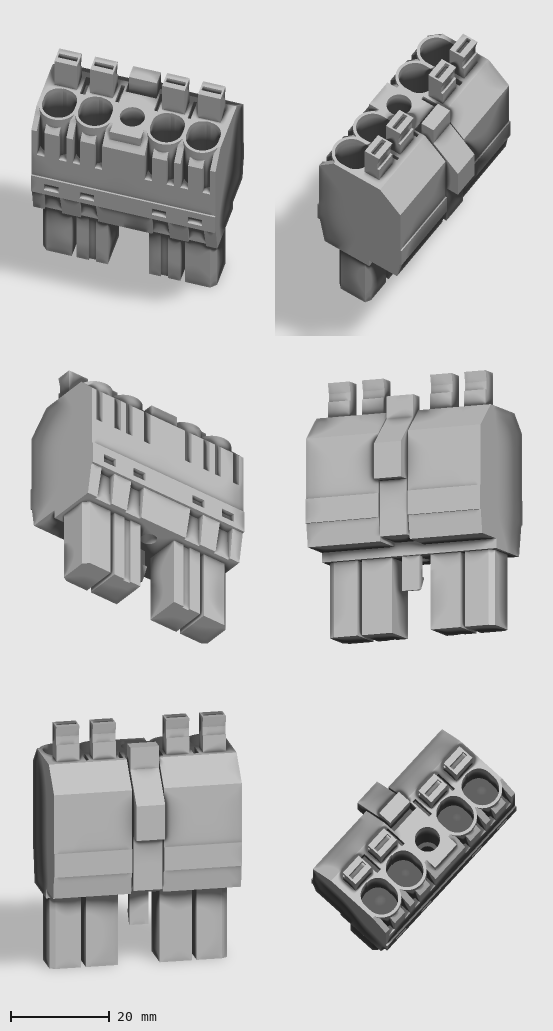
import cadquery as cq


housing_width = 39.0
body_front = 0.35
body_back = 20.4
body_bottom = 15.5
body_top = 44.7
band_bottom = 22.25
band_top = 27.25
band_back = 20.7
front_chamfer = 3.6
back_chamfer = 5.0
taper_top_front = 0.55
taper_bottom_front = 1.7
taper_top_back = 20.25
taper_bottom_back = 19.55
rear_ledge = 17.45
rear_step = 12.7

pole_pitch = 7.6
poles = [-2 * pole_pitch, -pole_pitch, pole_pitch, 2 * pole_pitch]

funnel_radius = 3.4
funnel_back = 9.75
funnel_floor = 33.65
funnel_axis = 5.4
funnel_front = funnel_axis - funnel_radius
funnel_groove_width = 0.8
funnel_groove_depth = 0.1
funnel_corner_radius = funnel_radius - funnel_groove_width / 2
collar_radius = 4.0
relief_width = 6.25
tab_width = 3.1

platform_width = 6.5
platform_front = 1.55
screw_y = 6.65
screw_radius = 1.7
screw_bore_radius = 2.55
screw_bore_floor = band_top

window_bottom = 23.55
window_height = 1.95
window_depth = 1.15
recess_floor = 2.3
recess_top_width = 3.3
recess_bottom_width = 3.75

slits = [(-11.4, 1.15), (-4.1, 0.85), (4.1, 0.85), (11.15, 0.7)]
slit_front = 9.55
slit_back = 14.1
slit_depth = 2.6

shroud_front = 3.85
shroud_back = 11.65
outer_shroud_inside = 12.0
outer_shroud_outside = 18.45
outer_chamfer_x = 1.15
outer_chamfer_front = 1.15
outer_chamfer_back = 0.7
inner_shroud_inside = 4.3
inner_shroud_outside = 11.0
key_groove_width = 1.55
key_groove_depth = 0.45

hook_width = 3.9
hook_back = 11.9
hook_front = 10.35
hook_barb = 0.6
hook_tip_front = 11.2
hook_bottom = 8.4
barb_bottom = 10.95
barb_top = 11.25

lever_width = 4.8
lever_front = 10.3
lever_back = 13.85
lever_bottom = funnel_floor
lever_top = 52.1
finger_depth = 0.45
finger_bottom = 48.2
finger_slope_bottom = 49.9
driver_slot_width = 4.05
driver_slot_front = 11.5
driver_slot_thickness = 1.05
driver_slot_depth = 1.4

latch_slot_width = 6.6
latch_width = 5.95
latch_top = 47.75
latch_grip_front = 14.15
latch_grip_back = 17.2
latch_shoulder = body_top - back_chamfer
latch_back = 23.2
latch_back_top = 37.1
latch_back_bottom = 29.75
latch_bottom = 18.3


def box(x0, x1, y0, y1, z0, z1):
    """Block between two corners."""
    return cq.Workplane("XY").box(x1 - x0, y1 - y0, z1 - z0, centered=False).translate((x0, y0, z0))


def centred_box(x, width, y0, y1, z0, z1):
    """Block whose width is centred on x."""
    return box(x - width / 2, x + width / 2, y0, y1, z0, z1)


def side_profile(points, width):
    """Y-Z outline extruded along X, centred on X = 0."""
    return cq.Workplane("YZ").polyline(points).close().extrude(width / 2, both=True)


def collar(x):
    """Cylinder that forms the outer wall of a wire funnel."""
    return (
        cq.Workplane("XY", origin=(x, funnel_axis, funnel_floor))
        .circle(collar_radius)
        .extrude(body_top - funnel_floor)
    )


def funnel(x):
    """Wire funnel, half round at the front and with two round corners and a groove at the back."""
    half_groove = funnel_groove_width / 2
    corner_y = funnel_back - funnel_corner_radius
    opening = (
        cq.Workplane("XY", origin=(x, 0, funnel_floor))
        .moveTo(-funnel_radius, funnel_axis)
        .threePointArc((0, funnel_front), (funnel_radius, funnel_axis))
        .lineTo(funnel_radius, corner_y)
        .radiusArc((half_groove, funnel_back), -funnel_corner_radius)
        .lineTo(-half_groove, funnel_back)
        .radiusArc((-funnel_radius, corner_y), -funnel_corner_radius)
        .close()
        .extrude(body_top - funnel_floor)
    )
    groove = centred_box(
        x,
        funnel_groove_width,
        funnel_axis,
        funnel_back + funnel_groove_depth,
        funnel_floor,
        body_top,
    )
    return opening.union(groove)


def housing_body():
    """Main block with its girth band, tapered foot and rear ledge."""
    return side_profile(
        [
            (body_front, body_top),
            (body_back - back_chamfer, body_top),
            (body_back, body_top - back_chamfer),
            (body_back, band_top),
            (band_back, band_top),
            (band_back, band_bottom),
            (taper_top_back, band_bottom),
            (taper_bottom_back, rear_ledge),
            (rear_step, rear_ledge),
            (rear_step, body_bottom),
            (taper_bottom_front, body_bottom),
            (taper_top_front, band_bottom),
            (0, band_bottom),
            (0, band_top),
            (body_front, band_top),
        ],
        housing_width,
    )


def front_chamfer_wedge():
    """Wedge off the top front edge that spares the screw platform."""
    wedge = side_profile(
        [
            (body_front, body_top),
            (body_front + front_chamfer, body_top),
            (body_front, body_top - front_chamfer),
        ],
        housing_width,
    )
    platform = centred_box(
        0, platform_width, platform_front, body_back, body_top - front_chamfer, body_top
    )
    return wedge.cut(platform)


def collar_relief(x):
    """Pair of front slots, one on each side of a middle tab, that bare a funnel collar."""
    relief = centred_box(x, relief_width, body_front, funnel_axis, funnel_floor, body_top)
    tab = centred_box(x, tab_width, body_front, funnel_axis, funnel_floor, body_top)
    return relief.cut(tab)


def front_cut():
    """Chamfer and relief slots together, all stopping at the funnel collars."""
    cut = front_chamfer_wedge()
    for x in poles:
        cut = cut.union(collar_relief(x))
    for x in poles:
        cut = cut.cut(collar(x))
    return cut


def foot_recess(x):
    """Upright recess in the tapered foot, slightly wider at its bottom."""
    return (
        cq.Workplane("XZ")
        .polyline(
            [
                (x - recess_bottom_width / 2, body_bottom),
                (x + recess_bottom_width / 2, body_bottom),
                (x + recess_top_width / 2, band_bottom),
                (x - recess_top_width / 2, band_bottom),
            ]
        )
        .close()
        .extrude(-recess_floor)
    )


def outer_shroud():
    """Shroud of the last pole on the -X side, chamfered on its outer corners."""
    outside = -outer_shroud_outside
    return (
        cq.Workplane("XY")
        .polyline(
            [
                (-outer_shroud_inside, shroud_front),
                (-outer_shroud_inside, shroud_back),
                (outside + outer_chamfer_x, shroud_back),
                (outside, shroud_back - outer_chamfer_back),
                (outside, shroud_front + outer_chamfer_front),
                (outside + outer_chamfer_x, shroud_front),
            ]
        )
        .close()
        .extrude(body_bottom)
    )


def inner_shroud():
    """Shroud of the inner pole on the -X side, with a key groove in its front."""
    shroud = box(
        -inner_shroud_outside, -inner_shroud_inside, shroud_front, shroud_back, 0, body_bottom
    )
    groove = centred_box(
        -pole_pitch, key_groove_width, shroud_front, shroud_front + key_groove_depth, 0, body_bottom
    )
    return shroud.cut(groove)


def snap_hook():
    """Barbed hook under the middle of the body."""
    return side_profile(
        [
            (hook_back, body_bottom),
            (hook_back, hook_bottom),
            (hook_tip_front, hook_bottom),
            (hook_front - hook_barb, barb_bottom),
            (hook_front - hook_barb, barb_top),
            (hook_front, barb_top),
            (hook_front, body_bottom),
        ],
        hook_width,
    )


def screw_hole():
    """Through hole with a deep counterbore from the top."""
    hole = cq.Workplane("XY").center(0, screw_y).circle(screw_radius).extrude(body_top)
    bore = (
        cq.Workplane("XY", origin=(0, screw_y, screw_bore_floor))
        .circle(screw_bore_radius)
        .extrude(body_top - screw_bore_floor)
    )
    return hole.union(bore)


def make_housing():
    housing = housing_body().cut(front_cut())
    for shroud in (outer_shroud(), inner_shroud()):
        housing = housing.union(shroud).union(shroud.mirror("YZ"))
    housing = housing.union(snap_hook())

    housing = housing.cut(screw_hole())
    housing = housing.cut(
        centred_box(0, latch_slot_width, rear_step, band_back, body_bottom, body_top)
    )
    for x in poles:
        housing = housing.cut(funnel(x))
        housing = housing.cut(
            centred_box(x, lever_width, lever_front, lever_back, lever_bottom, body_top)
        )
        housing = housing.cut(
            centred_box(x, tab_width, 0, window_depth, window_bottom, window_bottom + window_height)
        )
        housing = housing.cut(foot_recess(x))
    for x, width in slits:
        housing = housing.cut(
            centred_box(x, width, slit_front, slit_back, body_top - slit_depth, body_top)
        )
    return housing


def make_lever(x):
    """Release lever with a finger notch at the back and a screwdriver slot in its top."""
    lever = side_profile(
        [
            (lever_front, lever_bottom),
            (lever_back, lever_bottom),
            (lever_back, finger_bottom),
            (lever_back - finger_depth, finger_bottom),
            (lever_back - finger_depth, finger_slope_bottom),
            (lever_back, lever_top),
            (lever_front, lever_top),
        ],
        lever_width,
    )
    driver_slot = centred_box(
        0,
        driver_slot_width,
        driver_slot_front,
        driver_slot_front + driver_slot_thickness,
        lever_top - driver_slot_depth,
        lever_top,
    )
    return lever.cut(driver_slot).translate((x, 0, 0))


def make_latch():
    """Latch in the rear slot, with an upright grip and a sloped back at 45 degrees."""
    slope_top = latch_back_top + latch_back - latch_grip_back
    return side_profile(
        [
            (rear_step, latch_bottom),
            (rear_step, latch_shoulder),
            (latch_grip_front, latch_shoulder),
            (latch_grip_front, latch_top),
            (latch_grip_back, latch_top),
            (latch_grip_back, slope_top),
            (latch_back, latch_back_top),
            (latch_back, latch_back_bottom),
            (body_back, latch_back_bottom),
            (body_back, latch_bottom),
        ],
        latch_width,
    )


housing = make_housing()
levers = [make_lever(x) for x in poles]
latch = make_latch()

result = cq.Compound.makeCompound([housing.val(), *[lever.val() for lever in levers], latch.val()])